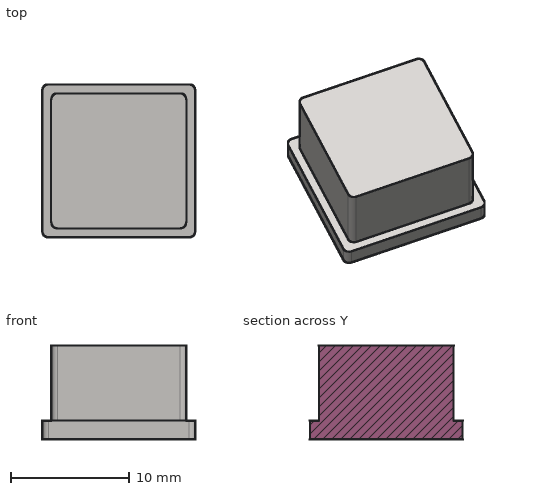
import cadquery as cq

flange_side = 12.95
flange_height = 1.58

total_height = 7.94
flange_ledge = 0.76
cap_side = flange_side - 2 * flange_ledge

corner_radius = 0.52


def rounded_square_block(side, height):
    """Square block standing on Z = 0 with rounded vertical edges."""
    block = cq.Workplane("XY").rect(side, side).extrude(height)
    return block.edges("|Z").fillet(corner_radius)


flange = rounded_square_block(flange_side, flange_height)
cap = rounded_square_block(cap_side, total_height)

result = flange.union(cap)